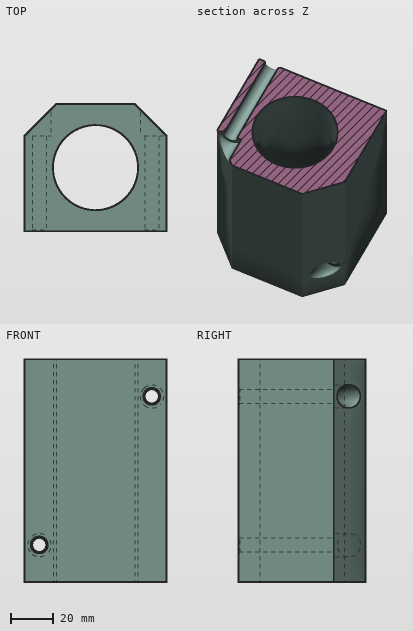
import cadquery as cq

width = 67.0
depth = 60.0
height = 105.0
corner_chamfer = 15.0
bore_diameter = 40.0

screw_hole_diameter = 6.6
countersink_diameter = 8.0
screw_side_inset = 7.0
screw_end_inset = 17.5
counterbore_diameter = 11.0
counterbore_depth = corner_chamfer

front_y = -depth / 2
back_y = depth / 2
screw_x = width / 2 - screw_side_inset
screw_positions = [
    (-screw_x, screw_end_inset),
    (screw_x, height - screw_end_inset),
]


def make_block():
    """Rectangular block with its two back vertical edges chamfered."""
    block = cq.Workplane("XY").box(width, depth, height, centered=(True, True, False))
    return block.edges("|Z and >Y").chamfer(corner_chamfer)


def make_bore():
    """Cylinder for the full-height central bore."""
    return cq.Workplane("XY").circle(bore_diameter / 2).extrude(height)


def make_y_cylinder(x, z, diameter, start_y, length):
    """Cylinder running along +Y from start_y."""
    axis_start = cq.Vector(x, start_y, z)
    return cq.Solid.makeCylinder(diameter / 2, length, axis_start, cq.Vector(0, 1, 0))


def make_screw_hole(x, z):
    """Through hole with a 45 degree countersink in front and a counterbore at the back."""
    through_hole = make_y_cylinder(x, z, screw_hole_diameter, front_y, depth)
    counterbore = make_y_cylinder(
        x, z, counterbore_diameter, back_y - counterbore_depth, counterbore_depth
    )
    countersink_depth = (countersink_diameter - screw_hole_diameter) / 2
    countersink = cq.Solid.makeCone(
        countersink_diameter / 2,
        screw_hole_diameter / 2,
        countersink_depth,
        cq.Vector(x, front_y, z),
        cq.Vector(0, 1, 0),
    )
    return cq.Workplane(through_hole).union(counterbore).union(countersink)


result = make_block().cut(make_bore())
for hole_x, hole_z in screw_positions:
    result = result.cut(make_screw_hole(hole_x, hole_z))